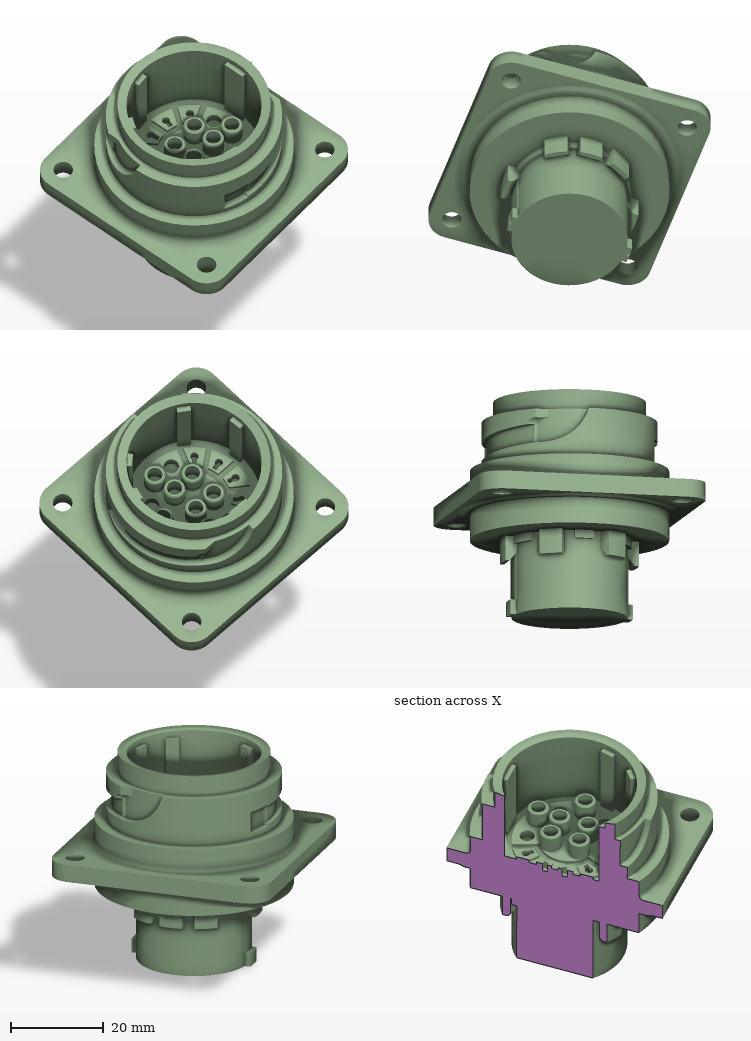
import cadquery as cq
import math

plug_band_top = 3.2
clip_bottom = 11.6
clip_hook = 13.3
collar_bottom = 15.2
barrel_bottom = 16.95
lip_bottom = 22.6
flange_bottom = 23.0
flange_top = 26.9
shoulder_top = 32.1
bayonet_top = 42.65
total_height = 47.1

plug_radius = 12.5
collar_radius = 13.35
barrel_radius = 21.5
lip_top_radius = 24.0
lip_bottom_radius = 22.85
bayonet_radius = 19.0
spigot_radius = 16.5
bore_radius = 14.55

flange_side = 50.0
flange_corner_radius = 5.0
flange_hole_diameter = 4.2
flange_hole_spacing = 40.0
shoulder_fillet = 1.0

socket_floor = 29.1
rim_drop = 0.5
key_top = 45.2
key_inner_radius = 13.35
keys = [(90, 5.0), (185, 3.0), (235, 3.0), (310, 3.0), (345, 3.0)]

face_top = 29.8
face_radius = 12.5
trough_inner_radius = 6.5
trough_outer_radius = 8.0
trough_half_angle = 60.5
channels = [(180, 0, 1.45), (143.5, 1.15, 1.25), (113, 1.5, 1.4)]

pitch_radius = 9.25
pitch_angle = 34
inner_contact_x = 2.65
inner_contact_y = 3.3
tube_top = 33.8
tube_diameter = 4.6
tube_chamfer = 0.3
tube_bore = 3.3
pin_hole_diameter = 3.3
recess_depth = 2.0
keyhole_diameter = 1.8
keyhole_slot_width = 1.1
keyhole_pitch_radius = 10.25
keyhole_slot_end_radius = 8.4
keyhole_angles = [134.5, 165.5, 194.5, 225.5]

slot_floor_radius = 17.95
slot_outer_radius = 19.5
slot_height = 4.2
slot_slope = 0.02
pocket_floor_radius = 17.6
pocket_height = 4.9
pocket_start = 149.8
ramp_start, ramp_end = 167.5, 170.8
run_end = 231.0
entry_wall = -15.25
entry_corner_radius = 1.3
entry_curve_start = -10.25
entry_curve_radius = 10.15
entry_floor_radius = 17.5
run_reference_height = 34.05
clearance = 0.75

clip_outer_radius = 15.0
clip_inner_radius = 12.0
clip_width = 5.0
clip_tip_thickness = 1.1
clip_angles = [0, 60, 90, 120, 180, 240, 300]
collar_stretches = [(-36.5, 216.5), (261, 279)]
rib_radius = 12.7
rib_width = 4.25
tab_radius = 13.7
tab_width = 3.9
tab_groove_width = 0.5
tab_groove_depth = 0.5


def cylinder(radius, bottom, top):
    return cq.Workplane("XY").workplane(offset=bottom).circle(radius).extrude(top - bottom)


def polar(radius, degrees):
    angle = math.radians(degrees)
    return (radius * math.cos(angle), radius * math.sin(angle))


def sector(inner, outer, start, end, bottom, top):
    """Part of a ring between two angles."""
    middle = (start + end) / 2
    return (
        cq.Workplane("XY")
        .workplane(offset=bottom)
        .moveTo(*polar(inner, start))
        .lineTo(*polar(outer, start))
        .threePointArc(polar(outer, middle), polar(outer, end))
        .lineTo(*polar(inner, end))
        .threePointArc(polar(inner, middle), polar(inner, start))
        .close()
        .extrude(top - bottom)
    )


def radial_bar(inner, outer, width, bottom, top, degrees, offset=0):
    """Straight bar pointing outwards from the axis."""
    bar = cq.Workplane("XY").box(outer - inner, width, top - bottom, centered=(False, True, False))
    return bar.translate((inner, offset, bottom)).rotate((0, 0, 0), (0, 0, 1), degrees)


def shell_body():
    profile = (
        cq.Workplane("XZ")
        .moveTo(0, 0)
        .lineTo(plug_radius, 0)
        .lineTo(plug_radius, barrel_bottom)
        .lineTo(barrel_radius, barrel_bottom)
        .lineTo(barrel_radius, lip_bottom)
        .lineTo(lip_bottom_radius, lip_bottom)
        .lineTo(lip_top_radius, flange_bottom)
        .lineTo(lip_top_radius, flange_top)
        .lineTo(barrel_radius + shoulder_fillet, flange_top)
        .radiusArc((barrel_radius, flange_top + shoulder_fillet), shoulder_fillet)
        .lineTo(barrel_radius, shoulder_top)
        .lineTo(bayonet_radius, shoulder_top)
        .lineTo(bayonet_radius, bayonet_top)
        .lineTo(spigot_radius, bayonet_top)
        .lineTo(spigot_radius, total_height)
        .lineTo(bore_radius, total_height - rim_drop)
        .lineTo(bore_radius, socket_floor)
        .lineTo(0, socket_floor)
        .close()
    )
    return profile.revolve(360, (0, 0, 0), (0, 1, 0))


def flange():
    return (
        cq.Workplane("XY")
        .workplane(offset=flange_bottom)
        .rect(flange_side, flange_side)
        .extrude(flange_top - flange_bottom)
        .edges("|Z")
        .fillet(flange_corner_radius)
        .faces(">Z")
        .workplane()
        .rect(flange_hole_spacing, flange_hole_spacing, forConstruction=True)
        .vertices()
        .hole(flange_hole_diameter)
    )


def socket_keys():
    bore = cylinder(bore_radius + 0.5, socket_floor, key_top)
    bars = cq.Workplane("XY")
    for angle, width in keys:
        bars = bars.add(radial_bar(key_inner_radius, spigot_radius, width, socket_floor, key_top, angle))
    return bars.combine().intersect(bore)


def contact_face():
    """Raised disc split by a trough and channels into one large pad and four wedges."""
    face = cylinder(face_radius, socket_floor, face_top)
    face = face.cut(
        sector(
            trough_inner_radius,
            trough_outer_radius,
            180 - trough_half_angle,
            180 + trough_half_angle,
            socket_floor,
            face_top,
        )
    )
    for angle, offset, width in channels:
        channel = radial_bar(
            trough_inner_radius, face_radius + 0.5, width, socket_floor, face_top, angle, offset
        )
        face = face.cut(channel).cut(channel.mirror("XZ"))
    return face


def tube_positions():
    outer = [polar(pitch_radius, step * pitch_angle) for step in (-2, 0, 2)]
    inner = [(x, y) for x in (-inner_contact_x, inner_contact_x) for y in (-inner_contact_y, inner_contact_y)]
    return outer + inner


def contact_tubes():
    return (
        cq.Workplane("XY")
        .workplane(offset=socket_floor)
        .pushPoints(tube_positions())
        .circle(tube_diameter / 2)
        .extrude(tube_top - socket_floor)
        .faces(">Z")
        .chamfer(tube_chamfer)
    )


def contact_holes():
    recess_bottom = face_top - recess_depth
    holes = (
        cq.Workplane("XY")
        .workplane(offset=face_top)
        .pushPoints(tube_positions())
        .circle(tube_bore / 2)
        .extrude(tube_top - face_top)
    )
    pins = (
        cq.Workplane("XY")
        .workplane(offset=recess_bottom)
        .pushPoints([polar(pitch_radius, step * pitch_angle) for step in (-3, -1, 1, 3)])
        .circle(pin_hole_diameter / 2)
        .extrude(recess_depth)
    )
    holes = holes.add(pins)
    for angle in keyhole_angles:
        x, y = polar(keyhole_pitch_radius, angle)
        holes = holes.add(cylinder(keyhole_diameter / 2, recess_bottom, face_top).translate((x, y, 0)))
        holes = holes.add(
            radial_bar(
                keyhole_slot_end_radius,
                keyhole_pitch_radius,
                keyhole_slot_width,
                recess_bottom,
                face_top,
                angle,
            )
        )
    return holes.combine()


def run_bottom(angle):
    return run_reference_height + slot_slope * (angle - ramp_end)


def run_top(angle):
    return run_bottom(angle) + slot_height


def wrapped_cut(angles, floor_radii, bottom, top, samples=12):
    """Cutter wrapped round the Z axis between two angles.

    The floor radius runs between its two values; `bottom` and `top` give heights from the angle.
    """

    def edge(height, start_radius, end_radius):
        points = []
        for step in range(samples + 1):
            share = step / samples
            angle = angles[0] + (angles[1] - angles[0]) * share
            x, y = polar(start_radius + (end_radius - start_radius) * share, angle)
            points.append(cq.Vector(x, y, height(angle)))
        return cq.Edge.makeSpline(points)

    mouth_radii = (slot_outer_radius, slot_outer_radius)
    rails = [
        edge(bottom, *mouth_radii),
        edge(top, *mouth_radii),
        edge(top, *floor_radii),
        edge(bottom, *floor_radii),
    ]
    faces = [cq.Face.makeRuledSurface(rails[i], rails[(i + 1) % 4]) for i in range(4)]
    starts = [rail.startPoint() for rail in rails]
    ends = [rail.endPoint() for rail in rails]
    for corners in (starts, ends):
        faces.append(cq.Face.makeFromWires(cq.Wire.makePolygon(corners, close=True)))
    return cq.Workplane(cq.Solid.makeSolid(cq.Shell.makeShell(faces)).fix())


def slot_entry():
    """Mouth where the slot curves up and leaves through the top of the bayonet ring."""
    mouth_top = bayonet_top + clearance
    entry_bottom = run_bottom(run_end)
    arc_height = mouth_top - entry_bottom
    arc_reach = math.sqrt(entry_curve_radius**2 - (entry_curve_radius - arc_height) ** 2)
    curved_floor = (
        cq.Workplane("XZ")
        .moveTo(-slot_outer_radius, entry_bottom)
        .lineTo(entry_curve_start, entry_bottom)
        .radiusArc((entry_curve_start + arc_reach, mouth_top), -entry_curve_radius)
        .lineTo(-slot_outer_radius, mouth_top)
        .close()
        .extrude(slot_outer_radius)
    )
    corner_height = run_top(run_end)
    rounded_corner = (
        cq.Workplane("YZ")
        .moveTo(-slot_outer_radius, entry_bottom)
        .lineTo(-slot_outer_radius, mouth_top)
        .lineTo(entry_wall, mouth_top)
        .lineTo(entry_wall, corner_height + entry_corner_radius)
        .radiusArc((entry_wall + entry_corner_radius, corner_height), entry_corner_radius)
        .lineTo(entry_wall + entry_corner_radius, entry_bottom)
        .close()
        .extrude(slot_outer_radius, both=True)
    )
    entry = curved_floor.intersect(rounded_corner)
    return entry.cut(cylinder(entry_floor_radius, shoulder_top, mouth_top))


def bayonet_slot():
    """Cutters for one slot: end pocket, ramp, sloping run and entry."""

    def pocket_bottom(angle):
        return run_bottom(angle) - (pocket_height - slot_height) / 2

    def pocket_top(angle):
        return pocket_bottom(angle) + pocket_height

    return [
        wrapped_cut(
            (pocket_start, ramp_start), (pocket_floor_radius, pocket_floor_radius), pocket_bottom, pocket_top
        ),
        wrapped_cut((ramp_start, ramp_end), (pocket_floor_radius, slot_floor_radius), run_bottom, run_top),
        wrapped_cut((ramp_end, run_end), (slot_floor_radius, entry_floor_radius), run_bottom, run_top),
        slot_entry(),
    ]


def snap_clip(angle):
    """Hooked clip hanging from the barrel, with its back on a cylinder."""
    profile = (
        cq.Workplane("XZ")
        .moveTo(clip_inner_radius, barrel_bottom)
        .lineTo(clip_outer_radius + 0.5, barrel_bottom)
        .lineTo(clip_outer_radius + 0.5, clip_bottom)
        .lineTo(clip_outer_radius - clip_tip_thickness, clip_bottom)
        .lineTo(plug_radius, clip_hook)
        .lineTo(clip_inner_radius, clip_hook)
        .close()
        .extrude(clip_width / 2, both=True)
    )
    clip = profile.intersect(cylinder(clip_outer_radius, clip_bottom, barrel_bottom))
    return clip.rotate((0, 0, 0), (0, 0, 1), angle)


def plug_collar(start, end):
    return sector(clip_inner_radius, collar_radius, start, end, collar_bottom, barrel_bottom)


def side_key(degrees):
    """Long rib down the plug that ends in a grooved locking tab."""
    rib = radial_bar(clip_inner_radius, tab_radius, rib_width, plug_band_top, barrel_bottom, degrees)
    rib = rib.intersect(cylinder(rib_radius, plug_band_top, barrel_bottom))
    tab = radial_bar(clip_inner_radius, tab_radius + 0.5, tab_width, 0, plug_band_top, degrees)
    tab = tab.intersect(cylinder(tab_radius, 0, plug_band_top))
    groove = radial_bar(
        tab_radius - tab_groove_depth, tab_radius + 0.5, tab_groove_width, 0, plug_band_top, degrees
    )
    return rib.union(tab.cut(groove))


result = shell_body()
for cutter in bayonet_slot():
    result = result.cut(cutter).cut(cutter.rotate((0, 0, 0), (0, 0, 1), 180))
result = result.union(flange()).union(socket_keys())
result = result.union(contact_face()).union(contact_tubes()).cut(contact_holes())
for start_angle, end_angle in collar_stretches:
    result = result.union(plug_collar(start_angle, end_angle))
for clip_angle in clip_angles:
    result = result.union(snap_clip(clip_angle))
for key_angle in (0, 180):
    result = result.union(side_key(key_angle))